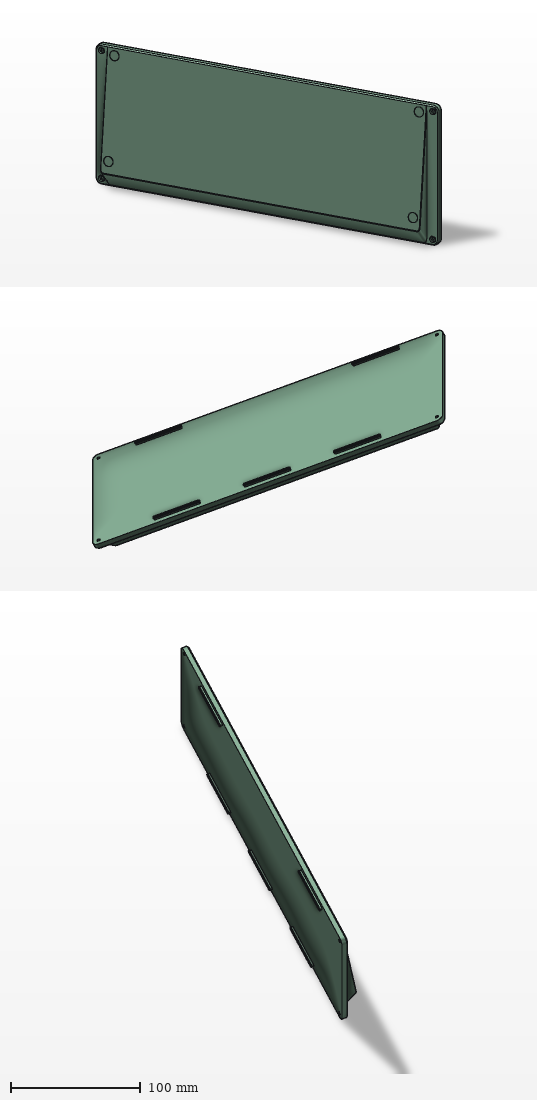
import cadquery as cq

WIDTH = 296.2
HEIGHT = 115.8
DEPTH = 19.5

CLIP_LENGTH = 2.5
PLATE_THICKNESS = 5.0
CORNER_RADIUS = 5.0
EDGE_CHAMFER = 1.0
PLATE_BACK = DEPTH / 2 - CLIP_LENGTH
PLATE_FRONT = PLATE_BACK - PLATE_THICKNESS
PLATE_MIDDLE = (PLATE_BACK + PLATE_FRONT) / 2

WEDGE_SIDE_MARGIN = 10.0
WEDGE_WIDTH = WIDTH - 2 * WEDGE_SIDE_MARGIN
WEDGE_TIP_TRIM = 0.05
WEDGE_TIP_Y = -DEPTH / 2 - WEDGE_TIP_TRIM
WEDGE_TIP_Z = -HEIGHT / 2 + 14.5
WEDGE_END_INSET = 1.2
WEDGE_TOP_Z = HEIGHT / 2 - WEDGE_END_INSET
WEDGE_BOTTOM_Z = -HEIGHT / 2 + WEDGE_END_INSET
WEDGE_EDGE_RADIUS = 2.7
WEDGE_RIM_CHAMFER = 0.5

SCREW_INSET = CORNER_RADIUS
SCREW_HOLE_DIAMETER = 2.5
SCREW_HEAD_DIAMETER = 5.0
SCREW_HEAD_DEPTH = 2.5

FOOT_DIAMETER = 8.0
FOOT_DEPTH = 0.3
FOOT_SIDE_INSET = 16.5
FOOT_UPPER_Z = HEIGHT / 2 - 7.0
FOOT_LOWER_Z = HEIGHT / 2 - 91.0

CLIP_WIDTH = 2.0
CLIP_SPAN = 39.0
CLIP_EDGE_INSET = 5.3
CLIP_LIP = 0.3
CLIP_HEAD_LENGTH = 0.75
UPPER_CLIP_X = 91.8
LOWER_CLIP_X = 76.5


def make_plate():
    plate = cq.Workplane("XY").box(WIDTH, PLATE_THICKNESS, HEIGHT)
    plate = plate.translate((0, PLATE_MIDDLE, 0))
    plate = plate.edges("|Y").fillet(CORNER_RADIUS)
    return plate.faces("<Y").edges().chamfer(EDGE_CHAMFER)


def make_wedge():
    profile = [
        (PLATE_MIDDLE, WEDGE_TOP_Z),
        (PLATE_FRONT, WEDGE_TOP_Z),
        (WEDGE_TIP_Y, WEDGE_TIP_Z),
        (PLATE_FRONT, WEDGE_BOTTOM_Z),
        (PLATE_MIDDLE, WEDGE_BOTTOM_Z),
    ]
    wedge = cq.Workplane("YZ").polyline(profile).close().extrude(WEDGE_WIDTH / 2, both=True)
    lower_middle = ((WEDGE_TIP_Y + PLATE_FRONT) / 2, (WEDGE_TIP_Z + WEDGE_BOTTOM_Z) / 2)
    for side in (-1, 1):
        edge_point = (side * WEDGE_WIDTH / 2, *lower_middle)
        wedge = wedge.edges(cq.selectors.NearestToPointSelector(edge_point)).fillet(WEDGE_EDGE_RADIUS)
    slope_middle = (0, (WEDGE_TIP_Y + PLATE_FRONT) / 2, (WEDGE_TIP_Z + WEDGE_TOP_Z) / 2)
    slope = wedge.faces(cq.selectors.NearestToPointSelector(slope_middle))
    rim = slope.edges("not >Z")
    return rim.chamfer(WEDGE_RIM_CHAMFER)


def make_screw_hole(x, z):
    hole = cq.Workplane("XZ", origin=(x, PLATE_BACK, z)).circle(SCREW_HOLE_DIAMETER / 2)
    hole = hole.extrude(PLATE_THICKNESS)
    head = cq.Workplane("XZ", origin=(x, PLATE_FRONT, z)).circle(SCREW_HEAD_DIAMETER / 2)
    return hole.union(head.extrude(-SCREW_HEAD_DEPTH))


def make_foot_recess(x, z):
    run = WEDGE_TOP_Z - WEDGE_TIP_Z
    rise = PLATE_FRONT - WEDGE_TIP_Y
    y = PLATE_FRONT - rise * (WEDGE_TOP_Z - z) / run
    face = cq.Plane(origin=(x, y, z), xDir=(1, 0, 0), normal=(0, -run, rise))
    return cq.Workplane(face).circle(FOOT_DIAMETER / 2).extrude(-FOOT_DEPTH)


def make_clip(x, z):
    stem = cq.Workplane("XZ", origin=(x, PLATE_BACK, z)).slot2D(CLIP_SPAN, CLIP_WIDTH)
    stem = stem.extrude(-CLIP_LENGTH)
    head = cq.Workplane("XZ", origin=(x, PLATE_BACK + CLIP_LENGTH - CLIP_HEAD_LENGTH, z))
    head = head.slot2D(CLIP_SPAN + 2 * CLIP_LIP, CLIP_WIDTH + 2 * CLIP_LIP).extrude(-CLIP_HEAD_LENGTH)
    head = head.faces(">Y").edges().chamfer(CLIP_HEAD_LENGTH / 2, CLIP_LIP)
    return stem.union(head)


result = make_plate().union(make_wedge())

for side in (-1, 1):
    for end in (-1, 1):
        screw_x = side * (WIDTH / 2 - SCREW_INSET)
        screw_z = end * (HEIGHT / 2 - SCREW_INSET)
        result = result.cut(make_screw_hole(screw_x, screw_z))
    for foot_z in (FOOT_UPPER_Z, FOOT_LOWER_Z):
        result = result.cut(make_foot_recess(side * (WIDTH / 2 - FOOT_SIDE_INSET), foot_z))

clip_z = HEIGHT / 2 - CLIP_EDGE_INSET
for clip_x in (-UPPER_CLIP_X, UPPER_CLIP_X):
    result = result.union(make_clip(clip_x, clip_z))
for clip_x in (-LOWER_CLIP_X, 0, LOWER_CLIP_X):
    result = result.union(make_clip(clip_x, -clip_z))